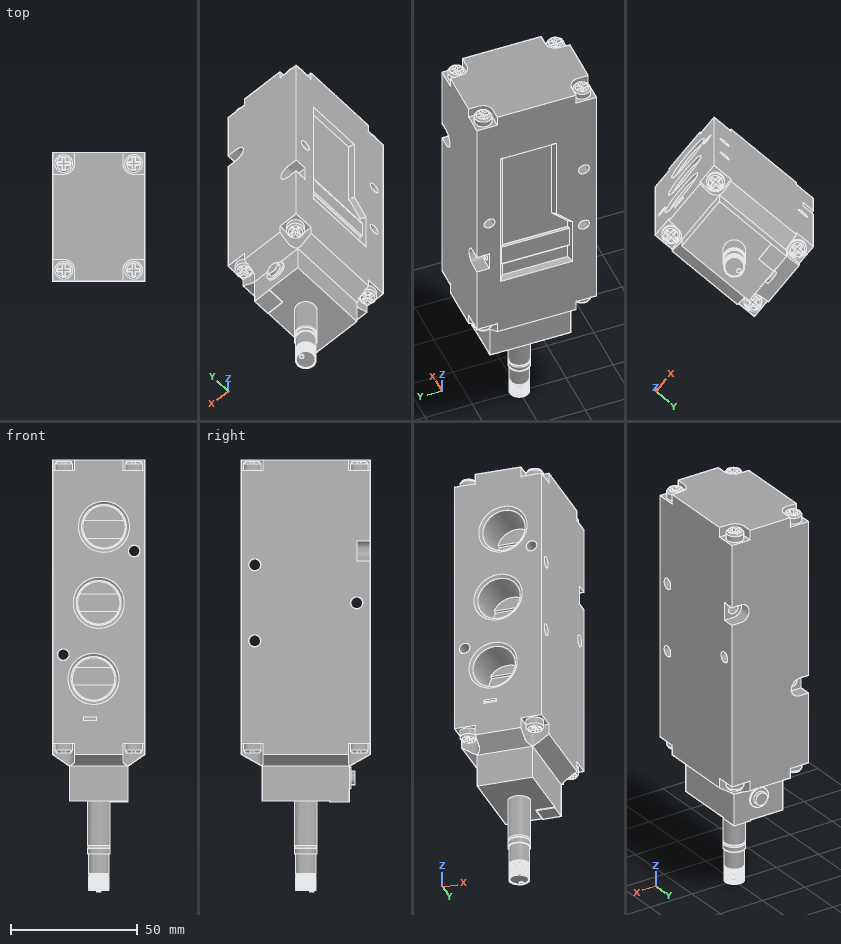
import cadquery as cq
WIDTH = 36.5
DEPTH = 51.0
HEIGHT = 170.3
BODY_HEIGHT = 90.0
TOP_CAP_HEIGHT = 11.4
LOWER_CAP_HEIGHT = 14.8
TAPER_HEIGHT = 4.6

BODY_TOP = HEIGHT - TOP_CAP_HEIGHT
BODY_BOTTOM = BODY_TOP - BODY_HEIGHT
BODY_MIDDLE = (BODY_TOP + BODY_BOTTOM) / 2
LOWER_CAP_BOTTOM = BODY_BOTTOM - LOWER_CAP_HEIGHT
LEFT_FACE = -WIDTH / 2
FRONT_FACE = -DEPTH / 2
BACK_FACE = DEPTH / 2

BLOCK_WIDTH = 23.2
BLOCK_DEPTH = 34.4
BLOCK_HEIGHT = 14.1
BLOCK_TOP = LOWER_CAP_BOTTOM - TAPER_HEIGHT
BLOCK_BOTTOM = BLOCK_TOP - BLOCK_HEIGHT
PAD_SIZE = 7.8
PAD_THICKNESS = 0.3

BUTTON_HEIGHT = 45.0
BUTTON_DIAMETER = 5.5
BUTTON_LENGTH = 2.2
FLANGE_DIAMETER = 8.5
FLANGE_THICKNESS = 0.7

SLEEVE_DIAMETER = 9.0
SLEEVE_BOTTOM = 15.0
SLEEVE_GROOVE_MIDDLE = 17.7
SLEEVE_GROOVE_WIDTH = 1.0
SLEEVE_GROOVE_DEPTH = 0.3
PLUG_DIAMETER = 8.2
PLUG_BOTTOM = 0.5
THREAD_LENGTH = 7.2
THREAD_PITCH = 1.0
THREAD_GROOVE_WIDTH = 0.7
THREAD_DEPTH = 0.3
KEY_DIAMETER = 1.7
KEY_OFFSET = 2.4

SCREW_INSET = 4.5
RECESS_RADIUS = 4.3
RECESS_DEPTH = 4.3
HEAD_DIAMETER = 7.0
HEAD_HEIGHT = 3.5
HEAD_CHAMFER_HEIGHT = 1.0
HEAD_CHAMFER_WIDTH = 0.7
CROSS_LENGTH = 5.5
CROSS_WIDTH = 1.5
CROSS_DEPTH = 1.4
CROSS_TAPER = 15
TOP_SEAT = HEIGHT - RECESS_DEPTH
LOWER_SEAT = LOWER_CAP_BOTTOM + RECESS_DEPTH

PORT_PITCH = 30.0
PORT_SHIFT = 2.0
PORT_DIAMETER = 17.7
PORT_MOUTH_DIAMETER = 20.1
PORT_END_DIAMETER = 16.7
PORT_DEPTH = 17.0
PASSAGE_HEIGHT = 7.0
PASSAGE_PITCH = 29.0
PASSAGE_DEPTH = 1.7

HOLE_DIAMETER = 4.5
FRONT_HOLE_X = 14.0
FRONT_HOLE_RISE = 20.5
SEAT_DIAMETER = 7.8
SEAT_DEPTH = 5.3
SIDE_HOLE_DIAMETER = 4.6
SIDE_HOLE_Y = 20.1
SIDE_HOLE_RISE = 15.0

POCKET_TOP = 147.1
POCKET_BOTTOM = 80.9
POCKET_BACK_Y = 15.3
POCKET_FRONT_Y = -15.3
POCKET_STEP = 6.8
POCKET_STEP_Z = 102.2
POCKET_DEPTH = 1.9
POCKET_WALL_ANGLE = 37
BAND_TOP = 98.6
BAND_BOTTOM = 88.4
BAND_RISE = 0.7
BAND_CHAMFER = 0.5

NOTCH_WIDTH = 5.1
NOTCH_X = -3.4
NOTCH_HEIGHT = 1.4
NOTCH_DEPTH = 1.4


def box(size_x, size_y, bottom, top):
    """Box centred on the Z axis between two heights."""
    return cq.Workplane("XY").workplane(offset=bottom).rect(size_x, size_y).extrude(top - bottom)


def cylinder(diameter, bottom, top):
    """Cylinder on the Z axis between two heights."""
    return cq.Workplane("XY").workplane(offset=bottom).circle(diameter / 2).extrude(top - bottom)


def corners():
    """Side of each screw corner as a pair of signs along X and Y."""
    return [(side_x, side_y) for side_x in (-1, 1) for side_y in (-1, 1)]


def screw_position(side_x, side_y):
    return side_x * (WIDTH / 2 - SCREW_INSET), side_y * (DEPTH / 2 - SCREW_INSET)


def lower_cap():
    straight = box(WIDTH, DEPTH, LOWER_CAP_BOTTOM, BODY_BOTTOM)
    taper = (
        cq.Workplane("XY").workplane(offset=BLOCK_TOP).rect(BLOCK_WIDTH, BLOCK_DEPTH)
        .workplane(offset=TAPER_HEIGHT).rect(WIDTH, DEPTH).loft(ruled=True)
    )
    notch = (
        cq.Workplane("XY").box(NOTCH_WIDTH, 2 * NOTCH_DEPTH, NOTCH_HEIGHT)
        .translate((NOTCH_X, FRONT_FACE, BODY_BOTTOM - NOTCH_HEIGHT / 2))
    )
    return straight.cut(notch).union(taper)


def pilot_block():
    block = box(BLOCK_WIDTH, BLOCK_DEPTH, BLOCK_BOTTOM + PAD_THICKNESS, BLOCK_TOP)
    pad = box(PAD_SIZE, PAD_SIZE, BLOCK_BOTTOM, BLOCK_BOTTOM + PAD_THICKNESS).translate(
        ((BLOCK_WIDTH - PAD_SIZE) / 2, (BLOCK_DEPTH - PAD_SIZE) / 2, 0)
    )
    return block.union(pad)


def button():
    back = cq.Workplane("XZ", origin=(0, BLOCK_DEPTH / 2, BUTTON_HEIGHT))
    flange = back.circle(FLANGE_DIAMETER / 2).extrude(-FLANGE_THICKNESS)
    stud = back.circle(BUTTON_DIAMETER / 2).extrude(-BUTTON_LENGTH)
    return flange.union(stud)


def v_groove(diameter, depth, bottom, top):
    """V-shaped ring to cut away around a cylinder of the given diameter."""
    radius = diameter / 2
    profile = [(radius, bottom), (radius - depth, (bottom + top) / 2), (radius, top)]
    return cq.Workplane("XZ").polyline(profile).close().revolve(360, (0, 0, 0), (0, 1, 0))


def plug():
    sleeve = cylinder(SLEEVE_DIAMETER, SLEEVE_BOTTOM, BLOCK_BOTTOM + PAD_THICKNESS)
    sleeve = sleeve.cut(v_groove(
        SLEEVE_DIAMETER,
        SLEEVE_GROOVE_DEPTH,
        SLEEVE_GROOVE_MIDDLE - SLEEVE_GROOVE_WIDTH / 2,
        SLEEVE_GROOVE_MIDDLE + SLEEVE_GROOVE_WIDTH / 2,
    ))
    shaft = cylinder(PLUG_DIAMETER, PLUG_BOTTOM, SLEEVE_BOTTOM)
    for turn in range(round(THREAD_LENGTH / THREAD_PITCH)):
        groove_bottom = PLUG_BOTTOM + turn * THREAD_PITCH
        groove_top = groove_bottom + THREAD_GROOVE_WIDTH
        shaft = shaft.cut(v_groove(PLUG_DIAMETER, THREAD_DEPTH, groove_bottom, groove_top))
    key = cylinder(KEY_DIAMETER, 0, PLUG_BOTTOM).translate((0, KEY_OFFSET, 0))
    return sleeve.union(shaft).union(key)


def port(step):
    """Chamfered blind port; step is 1 for the upper, 0 for the middle and -1 for the lower one."""
    x = step * PORT_SHIFT
    chamfer = (PORT_MOUTH_DIAMETER - PORT_DIAMETER) / 2
    front = cq.Workplane("XZ", origin=(x, FRONT_FACE, BODY_MIDDLE + step * PORT_PITCH))
    bore = (
        front.circle(PORT_DIAMETER / 2)
        .workplane(offset=-PORT_DEPTH).circle(PORT_END_DIAMETER / 2).loft()
    )
    mouth = (
        front.circle(PORT_MOUTH_DIAMETER / 2)
        .workplane(offset=-chamfer).circle(PORT_DIAMETER / 2).loft()
    )
    deep_bore = front.circle(PORT_END_DIAMETER / 2).extrude(-PORT_DEPTH - PASSAGE_DEPTH)
    passage = (
        cq.Workplane("XY").box(PORT_DIAMETER, 2 * (PORT_DEPTH + PASSAGE_DEPTH), PASSAGE_HEIGHT)
        .translate((x, FRONT_FACE, BODY_MIDDLE + step * PASSAGE_PITCH))
    )
    return bore.union(mouth).union(deep_bore.intersect(passage))


def front_hole(side):
    """Hole from front to back, with a head seat at the back that opens to the side face."""
    place = (side * FRONT_HOLE_X, BACK_FACE, BODY_MIDDLE + side * FRONT_HOLE_RISE)
    back = cq.Workplane("XZ", origin=place)
    hole = back.circle(HOLE_DIAMETER / 2).extrude(DEPTH)
    seat = back.circle(SEAT_DIAMETER / 2).extrude(SEAT_DEPTH)
    opening_length = WIDTH / 2 - FRONT_HOLE_X
    opening = (
        back.center(side * opening_length / 2, 0).rect(opening_length, SEAT_DIAMETER).extrude(SEAT_DEPTH)
    )
    return hole.union(seat).union(opening)


def side_holes():
    places = [
        (SIDE_HOLE_Y, BODY_MIDDLE),
        (-SIDE_HOLE_Y, BODY_MIDDLE + SIDE_HOLE_RISE),
        (-SIDE_HOLE_Y, BODY_MIDDLE - SIDE_HOLE_RISE),
    ]
    left = cq.Workplane("YZ", origin=(LEFT_FACE, 0, 0))
    return left.pushPoints(places).circle(SIDE_HOLE_DIAMETER / 2).extrude(WIDTH)


def label_pocket():
    outline = [
        (POCKET_BACK_Y, POCKET_BOTTOM),
        (POCKET_BACK_Y, POCKET_TOP),
        (POCKET_FRONT_Y + POCKET_STEP, POCKET_TOP),
        (POCKET_FRONT_Y + POCKET_STEP, POCKET_STEP_Z + POCKET_STEP),
        (POCKET_FRONT_Y, POCKET_STEP_Z),
        (POCKET_FRONT_Y, POCKET_BOTTOM),
    ]
    pocket = (
        cq.Workplane("YZ", origin=(LEFT_FACE, 0, 0))
        .polyline(outline).close().extrude(POCKET_DEPTH, taper=POCKET_WALL_ANGLE)
    )
    band = (
        cq.Workplane("XY").box(2 * BAND_RISE, DEPTH, BAND_TOP - BAND_BOTTOM)
        .edges("|Y and <X").chamfer(BAND_CHAMFER)
        .translate((LEFT_FACE + POCKET_DEPTH, 0, (BAND_TOP + BAND_BOTTOM) / 2))
    )
    return pocket.cut(band)


def screw_recess(side_x, side_y, bottom, top):
    """Corner cut with a round inner edge about the screw axis, open to both side faces."""
    reach = RECESS_RADIUS + SCREW_INSET
    square = box(reach, reach, bottom, top).translate(
        (side_x * (WIDTH - reach) / 2, side_y * (DEPTH - reach) / 2, 0)
    )
    inner_edge = "<X" if side_x > 0 else ">X"
    inner_side = "<Y" if side_y > 0 else ">Y"
    round_edge = square.faces(inner_edge).edges(inner_side)
    return square.newObject(round_edge.vals()).fillet(RECESS_RADIUS)


def make_housing():
    body = box(WIDTH, DEPTH, BODY_BOTTOM, BODY_TOP)
    for step in (1, 0, -1):
        body = body.cut(port(step))
    for side in (-1, 1):
        body = body.cut(front_hole(side))
    body = body.cut(side_holes()).cut(label_pocket())
    top_cap = box(WIDTH, DEPTH, BODY_TOP, HEIGHT)
    bottom_cap = lower_cap()
    for corner in corners():
        top_cap = top_cap.cut(screw_recess(*corner, TOP_SEAT, HEIGHT))
        bottom_cap = bottom_cap.cut(screw_recess(*corner, BLOCK_TOP, LOWER_SEAT))
    housing = body
    for section in (top_cap, bottom_cap, pilot_block(), button(), plug()):
        housing = housing.union(section, clean=False)
    return housing


def make_screw():
    """Screw head standing on Z = 0 with a tapered cross slot in its chamfered top."""
    head = cylinder(HEAD_DIAMETER, 0, HEAD_HEIGHT)
    head = head.faces(">Z").chamfer(HEAD_CHAMFER_HEIGHT, HEAD_CHAMFER_WIDTH)
    top = cq.Workplane("XY").workplane(offset=HEAD_HEIGHT)
    slot_x = top.rect(CROSS_LENGTH, CROSS_WIDTH).extrude(-CROSS_DEPTH, taper=CROSS_TAPER)
    slot_y = top.rect(CROSS_WIDTH, CROSS_LENGTH).extrude(-CROSS_DEPTH, taper=CROSS_TAPER)
    return head.cut(slot_x).cut(slot_y)


housing = make_housing()
screws = []
for corner in corners():
    x, y = screw_position(*corner)
    screws.append(make_screw().translate((x, y, TOP_SEAT)).val())
    upside_down = make_screw().rotate((0, 0, 0), (1, 0, 0), 180)
    screws.append(upside_down.translate((x, y, LOWER_SEAT)).val())

result = cq.Compound.makeCompound([housing.val(), *screws])